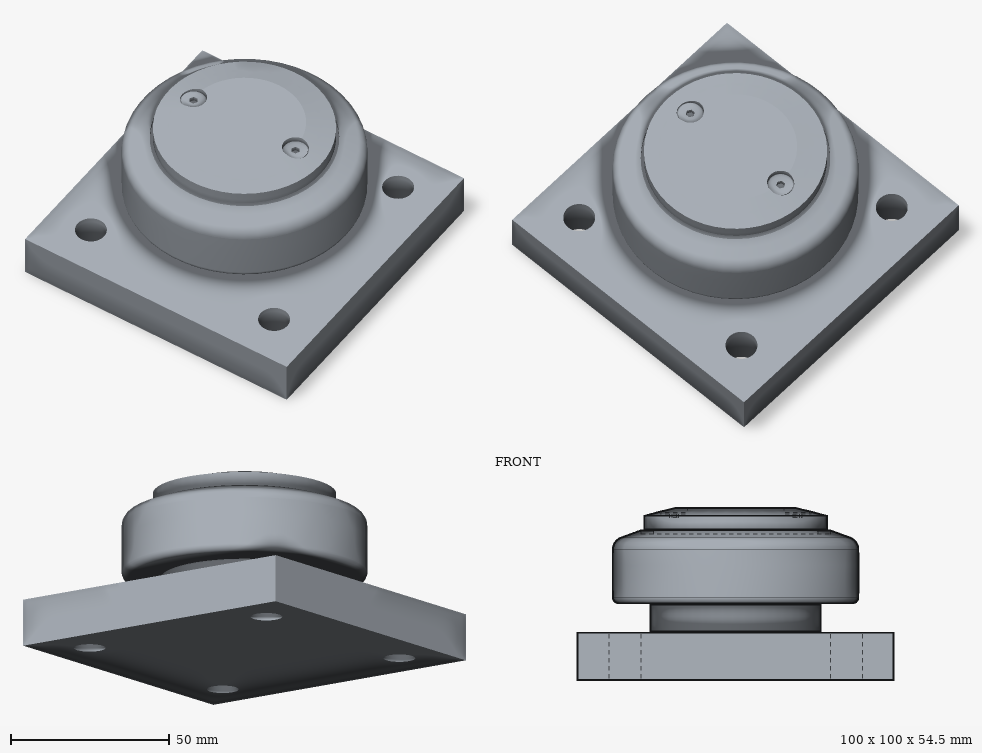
import cadquery as cq
import math

plate_size = 100
plate_thickness = 15
mount_hole_diameter = 10.1
mount_hole_spacing = 70

neck_diameter = 54
neck_chamfer = 0.4

roller_edge_radius = 38.9
roller_crown_radius = 39
roller_bottom_z = 24.3
rim_top_z = 41.4
shoulder_radius = 36
shoulder_z = 45.2
roller_bore_radius = 30
roller_slope = math.radians(20)
bottom_round = 2
rim_bottom_z = roller_bottom_z + bottom_round

total_height = 54.5
cap_diameter = 58
cap_bottom_z = 47.7
cap_flat_radius = 19.5
cap_slope = math.radians(15)
cap_seat_diameter = 52
cap_gap_depth = 1

screw_offset = 19.5
screw_recess_diameter = 8.6
screw_head_diameter = 7.8
screw_recess_depth = 1.9
screw_head_height = 0.5
socket_across_corners = 2.9
socket_depth = 1.5


def disc(diameter, bottom_z, top_z):
    """Solid cylinder on the Z axis between two heights."""
    return cq.Workplane("XY").workplane(offset=bottom_z).circle(diameter / 2).extrude(top_z - bottom_z)


def make_plate():
    plate = cq.Workplane("XY").box(plate_size, plate_size, plate_thickness, centered=(True, True, False))
    return (
        plate.faces(">Z").workplane()
        .rect(mount_hole_spacing, mount_hole_spacing, forConstruction=True)
        .vertices().hole(mount_hole_diameter)
    )


def make_neck():
    return disc(neck_diameter, plate_thickness, roller_bottom_z).edges().chamfer(neck_chamfer)


def make_roller():
    bore_top_z = shoulder_z + (shoulder_radius - roller_bore_radius) * math.tan(roller_slope)
    bore_floor_z = bore_top_z - cap_gap_depth
    rim_middle_z = (rim_bottom_z + rim_top_z) / 2
    return (
        cq.Workplane("XZ")
        .moveTo(0, roller_bottom_z)
        .lineTo(roller_edge_radius - bottom_round, roller_bottom_z)
        .tangentArcPoint((roller_edge_radius, rim_bottom_z), relative=False)
        .threePointArc((roller_crown_radius, rim_middle_z), (roller_edge_radius, rim_top_z))
        .tangentArcPoint((shoulder_radius, shoulder_z), relative=False)
        .lineTo(roller_bore_radius, bore_top_z)
        .lineTo(roller_bore_radius, bore_floor_z)
        .lineTo(0, bore_floor_z)
        .close()
        .revolve(360, (0, 0, 0), (0, 1, 0))
    )


def make_cap():
    cap_radius = cap_diameter / 2
    cap_edge_z = total_height - (cap_radius - cap_flat_radius) * math.tan(cap_slope)
    seat_z = cap_bottom_z - 2 * cap_gap_depth
    return (
        cq.Workplane("XZ")
        .moveTo(0, seat_z)
        .lineTo(cap_seat_diameter / 2, seat_z)
        .lineTo(cap_seat_diameter / 2, cap_bottom_z)
        .lineTo(cap_radius, cap_bottom_z)
        .lineTo(cap_radius, cap_edge_z)
        .lineTo(cap_flat_radius, total_height)
        .lineTo(0, total_height)
        .close()
        .revolve(360, (0, 0, 0), (0, 1, 0))
    )


def add_screw(body, x):
    floor_z = total_height - screw_recess_depth
    head_top_z = floor_z + screw_head_height
    recess = disc(screw_recess_diameter, floor_z, total_height)
    socket = (
        cq.Workplane("XY").workplane(offset=head_top_z)
        .polygon(6, socket_across_corners).extrude(-socket_depth)
    )
    head = disc(screw_head_diameter, floor_z, head_top_z)
    body = body.cut(recess.translate((x, 0, 0)))
    body = body.union(head.translate((x, 0, 0)))
    return body.cut(socket.translate((x, 0, 0)))


result = make_plate().union(make_neck()).union(make_roller()).union(make_cap())
for screw_x in (-screw_offset, screw_offset):
    result = add_screw(result, screw_x)